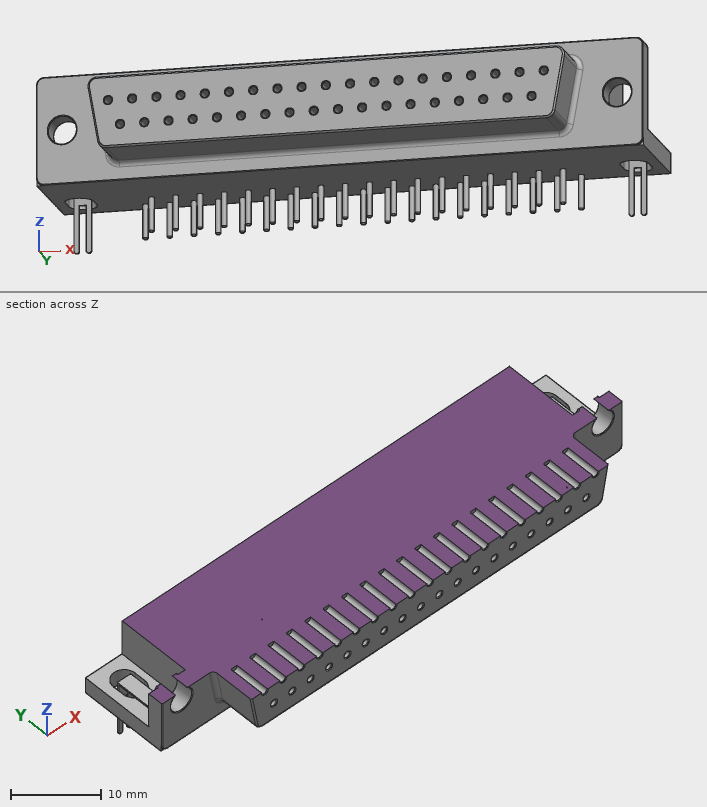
import cadquery as cq
import math


overall_length = 69.4
overall_depth = 18.74
overall_height = 17.9
body_height = 12.4
body_depth = 12.55

plate_thickness = 0.2
flange_thickness = 2.25
corner_radius = 0.85
plate_edge_chamfer = 0.1
foot_length = 5.5
foot_height = 2.35
center_height = body_height / 2

mount_spacing = 63.5
mount_hole_diameter = 3.2
mount_hole_chamfer = 0.1
slot_width = 3.2
slot_length = 4.8
slot_back_margin = 1.55

shell_width = 54.9
shell_height = 8.2
shell_side_angle = 10
shell_corner_radius = 1.0
shell_root_radius = 0.6
shell_rim_chamfer = 0.2

top_row_count = 19
contact_pitch = 2.77
row_spacing = 2.84
row_center_height = center_height - 0.1
contact_hole_diameter = 0.85
contact_hole_depth = 5.0
contact_hole_chamfer = 0.1

pin_diameter = 0.64
pin_length = 4.0
pin_tip_chamfer = 0.15
pin_embed = 1.0
pin_back_margin = 1.87
pin_row_spacing = 2.75

clip_thickness = 0.25
clip_pad_diameter = 4.0
clip_width = 2.0
clip_gap = 0.8
clip_tip_chamfer = 0.18
clip_back_margin = 3.1
leg_length = overall_height - body_height

mount_positions = (-mount_spacing / 2, mount_spacing / 2)


def box(x_range, y_range, z_range):
    """Box spanning the given (low, high) ranges."""
    sizes = [high - low for low, high in (x_range, y_range, z_range)]
    corner = (x_range[0], y_range[0], z_range[0])
    return cq.Workplane("XY").box(*sizes, centered=False).translate(corner)


def row_positions(count):
    """X positions of a centred row of contacts."""
    return [(i - (count - 1) / 2) * contact_pitch for i in range(count)]


def make_body():
    """Face plate with four round corners, over a flange, housing and feet that are square at the bottom."""
    half = overall_length / 2
    housing_half = half - foot_length
    plate = box((-half, half), (0, plate_thickness), (0, body_height))
    plate = plate.edges("|Y").fillet(corner_radius)
    plate = plate.faces("<Y").edges().chamfer(plate_edge_chamfer)
    flange = box((-half, half), (plate_thickness, flange_thickness), (0, body_height))
    flange = flange.edges("|Y and >Z").fillet(corner_radius)
    housing = box((-housing_half, housing_half), (plate_thickness, body_depth), (0, body_height))
    feet = box((-half, half), (plate_thickness, body_depth), (0, foot_height))
    return flange.union(housing).union(feet).union(plate)


def make_shell():
    """D-shaped shell, chamfered at its front rim."""
    length = overall_depth - body_depth
    half_top = shell_width / 2
    half_bottom = half_top - shell_height * math.tan(math.radians(shell_side_angle))
    top = center_height + shell_height / 2
    bottom = center_height - shell_height / 2
    outline = [(-half_bottom, bottom), (half_bottom, bottom), (half_top, top), (-half_top, top)]
    shell = cq.Workplane("XZ").polyline(outline).close().extrude(length)
    return shell.edges("|Y").fillet(shell_corner_radius).faces("<Y").edges().chamfer(shell_rim_chamfer)


def blend_shell_root(part):
    """Concave fillet where the shell leaves the face plate."""
    reach = shell_width / 2 + shell_root_radius
    height_reach = shell_height / 2 + shell_root_radius
    root_zone = cq.selectors.BoxSelector(
        (-reach, -shell_root_radius / 2, center_height - height_reach),
        (reach, shell_root_radius / 2, center_height + height_reach),
        boundingbox=True,
    )
    return part.edges(root_zone).fillet(shell_root_radius)


def chamfered_holes(face_y, points, diameter, depth, chamfer):
    """Cutters for holes running along +Y from face_y, each with a chamfered mouth."""
    radius = diameter / 2
    face = cq.Workplane("XZ", origin=(0, face_y, 0)).pushPoints(points)
    bores = face.circle(radius).extrude(-depth)
    mouth = cq.Solid.makeCone(radius + chamfer, radius, chamfer, dir=cq.Vector(0, 1, 0))
    mouths = [mouth.translate(cq.Vector(x, face_y, z)) for x, z in points]
    return bores.union(cq.Workplane(cq.Compound.makeCompound(mouths)))


def mount_holes():
    points = [(x, center_height) for x in mount_positions]
    depth = flange_thickness + clip_thickness
    return chamfered_holes(0, points, mount_hole_diameter, depth, mount_hole_chamfer)


def foot_slots():
    slot_center = body_depth - slot_back_margin - slot_length / 2
    points = [(x, slot_center) for x in mount_positions]
    return cq.Workplane("XY").pushPoints(points).slot2D(slot_length, slot_width, 90).extrude(foot_height)


def contact_holes():
    face_y = body_depth - overall_depth
    points = [(x, row_center_height + row_spacing / 2) for x in row_positions(top_row_count)]
    points += [(x, row_center_height - row_spacing / 2) for x in row_positions(top_row_count - 1)]
    return chamfered_holes(face_y, points, contact_hole_diameter, contact_hole_depth, contact_hole_chamfer)


def solder_pins():
    """Rear pins serve the top contact row, front pins the bottom row."""
    rear_y = body_depth - pin_back_margin
    front_y = rear_y - pin_row_spacing
    points = [(x, rear_y) for x in row_positions(top_row_count)]
    points += [(x, front_y) for x in row_positions(top_row_count - 1)]
    pins = cq.Workplane("XY", origin=(0, 0, -pin_length)).pushPoints(points).circle(pin_diameter / 2)
    return pins.extrude(pin_length + pin_embed).faces("<Z").edges().chamfer(pin_tip_chamfer)


def board_lock_clip(x):
    """Bent strip: round-topped pad behind the flange, tongue over the foot, two legs down the slot."""
    pad_radius = clip_pad_diameter / 2
    pad_back = flange_thickness + clip_thickness
    tongue_back = body_depth - clip_back_margin
    tongue_x = (x - clip_width / 2, x + clip_width / 2)

    pad = box((x - pad_radius, x + pad_radius), (flange_thickness, pad_back), (foot_height, center_height))
    crown = cq.Workplane("XZ", origin=(x, flange_thickness, center_height)).circle(pad_radius)
    pad = pad.union(crown.extrude(-clip_thickness))
    tongue = box(tongue_x, (flange_thickness, tongue_back), (foot_height, foot_height + clip_thickness))
    clip = pad.union(tongue)

    drop_y = (tongue_back - clip_thickness, tongue_back)
    clip = clip.union(box(tongue_x, drop_y, (0, foot_height)))
    leg_width = (clip_width - clip_gap) / 2
    for leg_left in (tongue_x[0], tongue_x[1] - leg_width):
        leg = box((leg_left, leg_left + leg_width), drop_y, (-leg_length, 0))
        clip = clip.union(leg.edges("|Y and <Z").chamfer(clip_tip_chamfer))
    return clip


result = blend_shell_root(make_body().union(make_shell()))
result = result.cut(foot_slots()).cut(contact_holes())
for mount_x in mount_positions:
    result = result.union(board_lock_clip(mount_x))
result = result.cut(mount_holes()).union(solder_pins())